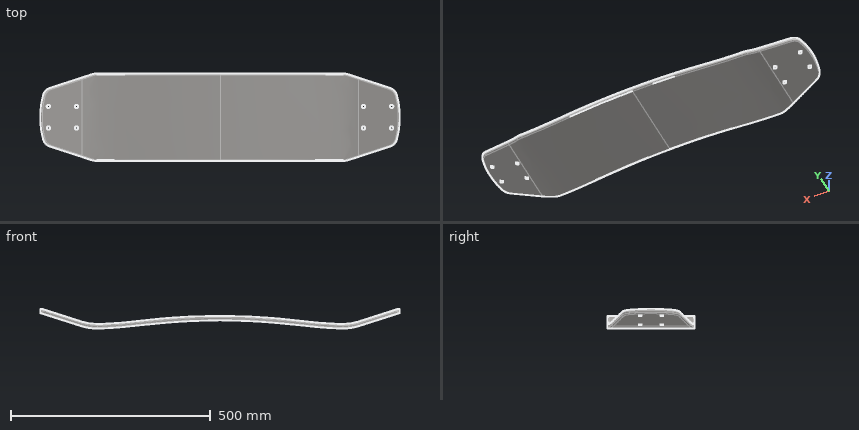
import cadquery as cq
import math

length = 901.0
width = 220.0
hip_x = 314.5
nose_corner_x = 439.0
nose_corner_y = 69.0
nose_corner_radius = 27.0
hip_radius = 45.0
position_tolerance = 4.0

thickness = 12.0
kick_x = 346.0
kick_z = 19.0
kick_slope = 0.32
valley_x = 302.0
valley_z = 13.0
valley_slope = -0.03
flank_x = 144.0
flank_z = 27.0
flank_slope = -0.09
crown_z = 33.0
edge_radius = 4.0

hole_diameter = 8.0
hole_inner_x = 359.5
hole_outer_x = 430.0
hole_y = 27.0

half_length = length / 2
half_width = width / 2
clearance = 45.0


def surface_stations(depth):
    """Points and tangents along the deck, offset down its normal by depth."""
    right = [
        (flank_x, flank_z, flank_slope),
        (valley_x, valley_z, valley_slope),
        (kick_x, kick_z, kick_slope),
    ]
    left = [(-x, z, -slope) for x, z, slope in reversed(right)]
    points = []
    tangents = []
    for x, z, slope in left + [(0, crown_z, 0)] + right:
        run = math.hypot(1, slope)
        points.append((x + depth * slope / run, z - depth / run))
        tangents.append((1 / run, slope / run))
    return points, tangents


def kick_end(kick_point):
    """Extend the flat kick past the nose from its right inner end."""
    x_end = half_length + clearance
    return x_end, kick_point[1] + kick_slope * (x_end - kick_point[0])


def half_curve(profile, points, tangents):
    """Continue a profile with a smooth curve from its current point."""
    return profile.spline(points[1:], tangents=tangents, includeCurrent=True)


def make_bent_sheet():
    """Constant-thickness sheet, split at the crown and kick lines."""
    top, top_tangents = surface_stations(0)
    bottom, bottom_tangents = surface_stations(thickness)
    top_x, top_z = kick_end(top[-1])
    bottom_x, bottom_z = kick_end(bottom[-1])
    crown = len(top) // 2
    sheet_width = width + 2 * clearance

    profile = cq.Workplane("XZ", origin=(0, sheet_width / 2, 0)).moveTo(-top_x, top_z).lineTo(*top[0])
    for part in (slice(0, crown + 1), slice(crown, None)):
        profile = half_curve(profile, top[part], top_tangents[part])
    profile = profile.lineTo(top_x, top_z).lineTo(bottom_x, bottom_z).lineTo(*bottom[-1])
    back_points = bottom[::-1]
    back_tangents = [(-x, -z) for x, z in reversed(bottom_tangents)]
    for part in (slice(0, crown + 1), slice(crown, None)):
        profile = half_curve(profile, back_points[part], back_tangents[part])
    profile = profile.lineTo(-bottom_x, bottom_z).close()
    return profile.extrude(sheet_width)


def make_plan():
    """Vertical prism of the deck outline with rounded corners."""
    plan = (
        cq.Workplane("XY")
        .moveTo(-hip_x, half_width)
        .lineTo(hip_x, half_width)
        .lineTo(nose_corner_x, nose_corner_y)
        .threePointArc((half_length, 0), (nose_corner_x, -nose_corner_y))
        .lineTo(hip_x, -half_width)
        .lineTo(-hip_x, -half_width)
        .lineTo(-nose_corner_x, -nose_corner_y)
        .threePointArc((-half_length, 0), (-nose_corner_x, nose_corner_y))
        .close()
        .extrude(half_length, both=True)
    )
    between_hip_and_nose = (hip_x + nose_corner_x) / 2
    corners = plan.edges("|Z")
    nose_corners = corners.filter(lambda edge: abs(edge.Center().x) > between_hip_and_nose)
    plan = nose_corners.fillet(nose_corner_radius)
    hips = plan.edges("|Z").filter(
        lambda edge: abs(abs(edge.Center().x) - hip_x) < position_tolerance
    )
    return hips.fillet(hip_radius)


def round_rim(deck):
    """Round the upper and lower rim, leaving the lines across the deck."""
    aligned = 0.99

    def on_rim(edge):
        across = edge.geomType() == "LINE" and abs(edge.tangentAt(0).y) > aligned
        upright = edge.geomType() == "LINE" and abs(edge.tangentAt(0).z) > aligned
        return not across and not upright

    return deck.edges().filter(on_rim).fillet(edge_radius)


def make_bolt_holes():
    """Vertical through holes, four in each kick."""
    centers = [
        (side * x, y)
        for side in (-1, 1)
        for x in (hole_inner_x, hole_outer_x)
        for y in (-hole_y, hole_y)
    ]
    return (
        cq.Workplane("XY")
        .pushPoints(centers)
        .circle(hole_diameter / 2)
        .extrude(half_length, both=True)
    )


deck = round_rim(make_bent_sheet().intersect(make_plan()))
result = deck.cut(make_bolt_holes())